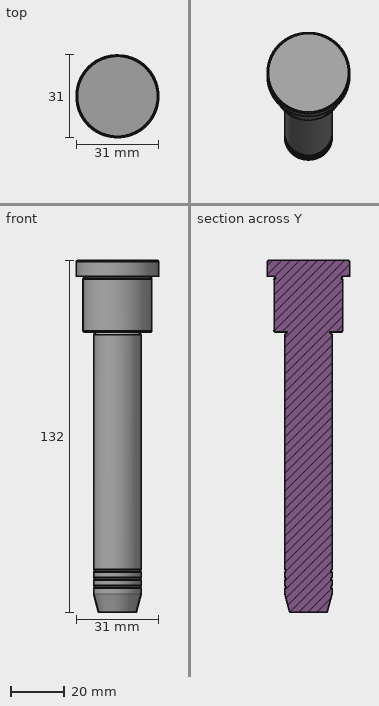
import cadquery as cq
import math

total_length = 132.0

head_diameter = 31.0
head_height = 6.1
head_chamfer = 0.5
body_radius = 13.0
body_end_depth = 26.9
body_chamfer = 0.4

head_relief_width = 1.0

shaft_radius = 9.0
neck_radius = 8.0
neck_taper = 1.0

tip_length = 7.0
tip_angle = 15.0
tip_fillet = 0.5

groove_count = 3
groove_width = 1.2
groove_depth = 0.5
groove_floor_fraction = 0.35
groove_pitch = 3.0
first_groove_bottom = 9.0

head_radius = head_diameter / 2
head_bottom = total_length - head_height
body_bottom = total_length - body_end_depth
tip_radius = shaft_radius - tip_length * math.tan(math.radians(tip_angle))


def cylinder(radius, bottom, top):
    return cq.Workplane("XY").workplane(offset=bottom).circle(radius).extrude(top - bottom)


def ring_groove(radius, bottom, width):
    """Ring with a lopsided V section, deepest near its lower edge, to cut from a cylinder."""
    deepest_level = bottom + width * groove_floor_fraction
    return (
        cq.Workplane("XZ")
        .moveTo(radius, bottom)
        .lineTo(radius - groove_depth, deepest_level)
        .lineTo(radius, bottom + width)
        .close()
        .revolve(360, (0, 0), (0, 1))
    )


head = cylinder(head_radius, head_bottom, total_length).edges(">Z").chamfer(head_chamfer)

body = cylinder(body_radius, body_bottom, head_bottom).edges("<Z").chamfer(body_chamfer)
body = body.cut(ring_groove(body_radius, head_bottom - head_relief_width, head_relief_width))

shaft = (
    cq.Workplane("XZ")
    .moveTo(0, 0)
    .lineTo(tip_radius, 0)
    .lineTo(shaft_radius, tip_length)
    .lineTo(shaft_radius, body_bottom - neck_taper)
    .lineTo(neck_radius, body_bottom)
    .lineTo(0, body_bottom)
    .close()
    .revolve(360, (0, 0), (0, 1))
    .edges("<Z")
    .fillet(tip_fillet)
)

for index in range(groove_count):
    groove_bottom = first_groove_bottom + index * groove_pitch
    shaft = shaft.cut(ring_groove(shaft_radius, groove_bottom, groove_width))

result = head.union(body).union(shaft)